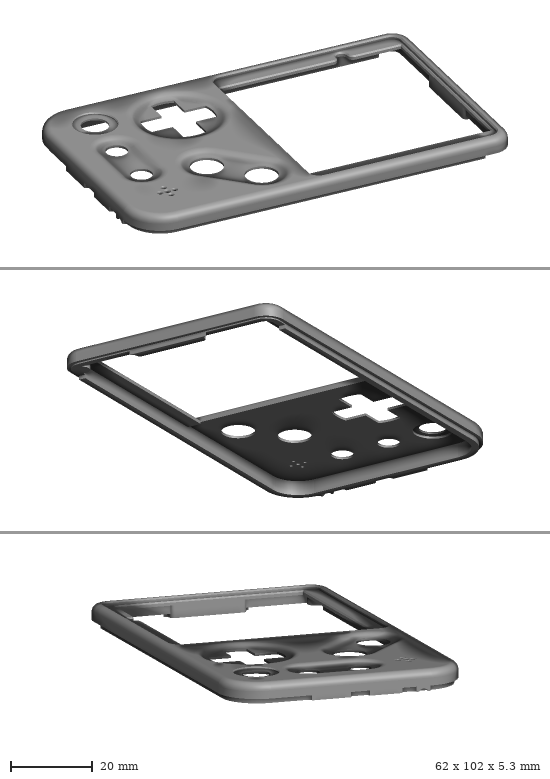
import cadquery as cq
import math

WIDTH = 62.0
LENGTH = 102.0
HEIGHT = 5.3
TOP_CORNER_RADIUS = 5.0
BOTTOM_CORNER_RADIUS = 10.0
EDGE_ROUND = 2.0
RIM_Z = 1.3
LIP_INSET = 1.0
LIP_THICKNESS = 1.8
WALL_THICKNESS = LIP_INSET + LIP_THICKNESS
SKIN_THICKNESS = 1.6
CAVITY_TOP = HEIGHT - SKIN_THICKNESS

RECESS_DEPTH = 1.0
RECESS_FLOOR = HEIGHT - RECESS_DEPTH
SCREEN_HALF_WIDTH = 24.5
SCREEN_BOTTOM = -2.65
SCREEN_TOP = 47.65
POCKET_HALF_WIDTH = 28.35
POCKET_TOP = 48.35
POCKET_CORNER_RADIUS = 2.65
POCKET_CHAMFER = 0.35
SCREEN_CHAMFER = 0.35
LEDGE_THICKNESS = 1.1
NOTCH_Y = 32.3
NOTCH_RADIUS = 1.5
NOTCH_MOUTH_RADIUS = 1.5
NOTCH_DEPTH = 3.1

DISH_ARC_WIDTH = 1.7
PAD_CENTER = (-14.75, -18.0)
PAD_FLOOR_RADIUS = 9.45
PAD_ARM_WIDTH = 6.3
ACTION_CENTER = (15.1, -17.75)
ACTION_SPACING = 10.0 * math.sqrt(2)
ACTION_ANGLE = 45.0
ACTION_FLOOR_RADIUS = 4.45
ACTION_HOLE_DIAMETER = 8.4
SELECT_CENTER = (0.0, -38.95)
SELECT_SPACING = 13.5
SELECT_FLOOR_RADIUS = 3.1
SELECT_HOLE_DIAMETER = 5.6

MENU_CENTER = (-20.1, -38.2)
MENU_RECESS_DIAMETER = 11.0
MENU_RIM_DIAMETER = 11.5
MENU_RECESS_DEPTH = 0.5
MENU_RELIEF_DIAMETER = 9.9
MENU_WALL = 0.5
MENU_HOLE_DIAMETER = 7.0

SPEAKER_CENTER = (19.0, -38.0)
SPEAKER_PITCH = 2.0
SPEAKER_MIDDLE = (1.0, 1.8)
SPEAKER_OUTER = (0.8, 1.62)

LIP_CUT_Y = 43.5
LIP_CUT_Z = 1.0
FRONT_TABS = ((-10.3, -0.2), (4.8, 13.3), (17.0, 20.6))
FRONT_TAB_FILLET = 0.9
CABLE_GROOVE_X = 18.85
CABLE_GROOVE_WIDTH = 2.4
CABLE_GROOVE_HEIGHT = 0.7
BACK_TAB_HALF_WIDTH = 8.9
BACK_TAB_FILLET = 1.1
BOSS_CENTER = (27.5, 46.4)
BOSS_DIAMETER = 4.4


def shell_block(inset, z_low, z_high):
    """Body outline moved inward by inset, extruded between two heights."""
    block = cq.Workplane("XY").workplane(offset=z_low).rect(WIDTH - 2 * inset, LENGTH - 2 * inset)
    block = block.extrude(z_high - z_low)
    block = block.edges("|Z and >Y").fillet(TOP_CORNER_RADIUS - inset)
    return block.edges("|Z and <Y").fillet(BOTTOM_CORNER_RADIUS - inset)


def box_between(x_range, y_range, z_range):
    size = [high - low for low, high in (x_range, y_range, z_range)]
    start = (x_range[0], y_range[0], z_range[0])
    return cq.Workplane("XY").box(*size, centered=False).translate(start)


def hole(center, diameter):
    return cq.Workplane("XY").center(*center).circle(diameter / 2).extrude(HEIGHT)


def cone(center, low_diameter, high_diameter):
    """45 degree countersink that reaches its larger diameter at the top face."""
    depth = (high_diameter - low_diameter) / 2
    lower = cq.Workplane("XY").workplane(offset=HEIGHT - depth).center(*center).circle(low_diameter / 2)
    return lower.workplane(offset=depth).circle(high_diameter / 2).loft()


def dish_section(plane, floor_radius):
    """Closed half section of a dish: flat floor, concave arc, then convex arc up to the top face."""
    half_angle = math.atan(RECESS_DEPTH / 2 / DISH_ARC_WIDTH)
    arc_radius = DISH_ARC_WIDTH / math.sin(2 * half_angle)
    arc_dx = arc_radius * math.sin(half_angle)
    arc_dz = arc_radius * (1 - math.cos(half_angle))
    middle = (floor_radius + DISH_ARC_WIDTH, HEIGHT - RECESS_DEPTH / 2)
    rim = floor_radius + 2 * DISH_ARC_WIDTH
    return (
        plane.moveTo(0, RECESS_FLOOR)
        .lineTo(floor_radius, RECESS_FLOOR)
        .threePointArc((floor_radius + arc_dx, RECESS_FLOOR + arc_dz), middle)
        .threePointArc((rim - arc_dx, HEIGHT - arc_dz), (rim, HEIGHT))
        .lineTo(0, HEIGHT)
        .close()
    )


def round_dish(floor_radius):
    return dish_section(cq.Workplane("XZ"), floor_radius).revolve(360, (0, 0, 0), (0, 1, 0))


def long_dish(floor_radius, spacing):
    """Cutters of a dish stretched along X between two round ends."""
    plane = cq.Workplane("YZ").workplane(offset=-spacing / 2)
    half = dish_section(plane, floor_radius).extrude(spacing)
    ends = [round_dish(floor_radius).translate((side * spacing / 2, 0, 0)) for side in (-1, 1)]
    return [half.union(half.mirror("XZ")), *ends]


def button_pair(center, spacing, angle, floor_radius, hole_diameter):
    cutters = long_dish(floor_radius, spacing)
    cutters += [hole((side * spacing / 2, 0), hole_diameter) for side in (-1, 1)]
    return [cutter.rotate((0, 0, 0), (0, 0, 1), angle).translate((*center, 0)) for cutter in cutters]


def direction_pad():
    reach = 2 * PAD_FLOOR_RADIUS
    cross = cq.Workplane("XY").rect(reach, PAD_ARM_WIDTH).extrude(HEIGHT)
    cross = cross.union(cq.Workplane("XY").rect(PAD_ARM_WIDTH, reach).extrude(HEIGHT))
    cross = cross.intersect(hole((0, 0), reach))
    return [cutter.translate((*PAD_CENTER, 0)) for cutter in (round_dish(PAD_FLOOR_RADIUS), cross)]


def menu_button():
    recess = hole(MENU_CENTER, MENU_RECESS_DIAMETER).translate((0, 0, HEIGHT - MENU_RECESS_DEPTH))
    rim = cone(MENU_CENTER, MENU_RECESS_DIAMETER, MENU_RIM_DIAMETER)
    relief = hole(MENU_CENTER, MENU_RELIEF_DIAMETER).translate((0, 0, -MENU_RECESS_DEPTH - MENU_WALL))
    return [recess, rim, relief, hole(MENU_CENTER, MENU_HOLE_DIAMETER)]


def speaker():
    x, y = SPEAKER_CENTER
    cutter = hole(SPEAKER_CENTER, SPEAKER_MIDDLE[0]).union(cone(SPEAKER_CENTER, *SPEAKER_MIDDLE))
    for dx, dy in ((1, 0), (-1, 0), (0, 1), (0, -1)):
        place = (x + dx * SPEAKER_PITCH, y + dy * SPEAKER_PITCH)
        cutter = cutter.union(hole(place, SPEAKER_OUTER[0])).union(cone(place, *SPEAKER_OUTER))
    return cutter


def screen_outline(plane_z):
    """Window outline with the rounded notch in its left side."""
    tip_x = -SCREEN_HALF_WIDTH - NOTCH_DEPTH
    center_x = tip_x + NOTCH_RADIUS
    mouth_x = -SCREEN_HALF_WIDTH - NOTCH_MOUTH_RADIUS
    reach = NOTCH_RADIUS + NOTCH_MOUTH_RADIUS
    mouth_dy = math.sqrt(reach**2 - (mouth_x - center_x) ** 2)
    share = NOTCH_RADIUS / reach
    join_x = center_x + share * (mouth_x - center_x)
    join_dy = share * mouth_dy
    join_angle = math.atan2(-mouth_dy, center_x - mouth_x)
    mid_x = mouth_x + NOTCH_MOUTH_RADIUS * math.cos(join_angle / 2)
    mid_dy = mouth_dy + NOTCH_MOUTH_RADIUS * math.sin(join_angle / 2)
    return (
        cq.Workplane("XY")
        .workplane(offset=plane_z)
        .moveTo(-SCREEN_HALF_WIDTH, SCREEN_BOTTOM)
        .lineTo(-SCREEN_HALF_WIDTH, NOTCH_Y - mouth_dy)
        .threePointArc((mid_x, NOTCH_Y - mid_dy), (join_x, NOTCH_Y - join_dy))
        .threePointArc((tip_x, NOTCH_Y), (join_x, NOTCH_Y + join_dy))
        .threePointArc((mid_x, NOTCH_Y + mid_dy), (-SCREEN_HALF_WIDTH, NOTCH_Y + mouth_dy))
        .lineTo(-SCREEN_HALF_WIDTH, SCREEN_TOP)
        .lineTo(SCREEN_HALF_WIDTH, SCREEN_TOP)
        .lineTo(SCREEN_HALF_WIDTH, SCREEN_BOTTOM)
        .close()
    )


def pocket_outline(plane_z):
    """Rounded outline of the shallow glass pocket around the window."""
    width = 2 * POCKET_HALF_WIDTH
    length = POCKET_TOP - SCREEN_BOTTOM
    center_y = (POCKET_TOP + SCREEN_BOTTOM) / 2
    outline = cq.Sketch().rect(width, length).vertices().fillet(POCKET_CORNER_RADIUS)
    return cq.Workplane("XY").workplane(offset=plane_z).center(0, center_y).placeSketch(outline)


def screen():
    """Cutters for the pocket, the window in its floor and the chamfers of both."""
    window_bevel = screen_outline(RECESS_FLOOR - SCREEN_CHAMFER).extrude(SCREEN_CHAMFER, taper=-45)
    return [
        pocket_outline(RECESS_FLOOR).extrude(RECESS_DEPTH),
        pocket_outline(HEIGHT - POCKET_CHAMFER).extrude(POCKET_CHAMFER, taper=-45),
        screen_outline(0).extrude(HEIGHT),
        window_bevel.intersect(pocket_outline(0).extrude(HEIGHT)),
    ]


def front_tab(left, right):
    """Block that carries the front wall face down to the lower edge, filleted into the lip."""
    front = -LENGTH / 2
    back = front + LIP_INSET
    r = FRONT_TAB_FILLET
    sag = r * (1 - math.sqrt(0.5))
    return (
        cq.Workplane("XY")
        .moveTo(left, front)
        .lineTo(left, back - r)
        .threePointArc((left - sag, back - sag), (left - r, back))
        .lineTo(right + r, back)
        .threePointArc((right + sag, back - sag), (right, back - r))
        .lineTo(right, front)
        .close()
        .extrude(RIM_Z)
    )


def cable_groove():
    radius = (CABLE_GROOVE_WIDTH**2 / 4 + CABLE_GROOVE_HEIGHT**2) / (2 * CABLE_GROOVE_HEIGHT)
    groove = cq.Workplane("XZ").center(CABLE_GROOVE_X, CABLE_GROOVE_HEIGHT - radius).circle(radius)
    return groove.extrude(LIP_INSET).translate((0, LIP_INSET - LENGTH / 2, 0))


def back_tab():
    """Thickened middle of the back wall, blended into it by S-shaped ends."""
    r = BACK_TAB_FILLET
    bulge = r * math.sqrt(0.5)
    half = BACK_TAB_HALF_WIDTH
    root = half + 2 * r
    outer = LENGTH / 2 - LIP_INSET
    middle_y = SCREEN_TOP + r
    root_y = SCREEN_TOP + 2 * r
    return (
        cq.Workplane("XY")
        .moveTo(-root, outer)
        .lineTo(-root, root_y)
        .threePointArc((-root + bulge, middle_y + bulge), (-half - r, middle_y))
        .threePointArc((-half - bulge, middle_y - bulge), (-half, SCREEN_TOP))
        .lineTo(half, SCREEN_TOP)
        .threePointArc((half + bulge, middle_y - bulge), (half + r, middle_y))
        .threePointArc((root - bulge, middle_y + bulge), (root, root_y))
        .lineTo(root, outer)
        .close()
        .extrude(CAVITY_TOP)
    )


def corner_boss():
    plane = cq.Workplane("XY").workplane(offset=LIP_CUT_Z).center(*BOSS_CENTER)
    return plane.circle(BOSS_DIAMETER / 2).extrude(CAVITY_TOP - LIP_CUT_Z)


def screen_ledge():
    """Extra thickness under the pocket floor; the window is cut through it afterwards."""
    half_width = WIDTH / 2 - WALL_THICKNESS
    return box_between(
        (-half_width, half_width),
        (SCREEN_BOTTOM, LENGTH / 2 - WALL_THICKNESS),
        (RECESS_FLOOR - LEDGE_THICKNESS, CAVITY_TOP),
    )


def body():
    """Hollow shell with the lip, tabs, boss and ledge, before the openings are cut."""
    upper = shell_block(0, RIM_Z, HEIGHT).faces(">Z").edges().fillet(EDGE_ROUND)
    lip = shell_block(LIP_INSET, 0, RIM_Z)
    lip = lip.cut(box_between((-WIDTH, WIDTH), (LIP_CUT_Y, LENGTH), (0, LIP_CUT_Z)))
    shell = upper.union(lip).cut(shell_block(WALL_THICKNESS, 0, CAVITY_TOP))
    for left, right in FRONT_TABS:
        shell = shell.union(front_tab(left, right))
    for addition in (back_tab(), corner_boss(), screen_ledge()):
        shell = shell.union(addition)
    return shell


result = body()
for cutters in (
    screen(),
    direction_pad(),
    button_pair(ACTION_CENTER, ACTION_SPACING, ACTION_ANGLE, ACTION_FLOOR_RADIUS, ACTION_HOLE_DIAMETER),
    button_pair(SELECT_CENTER, SELECT_SPACING, 0, SELECT_FLOOR_RADIUS, SELECT_HOLE_DIAMETER),
    menu_button(),
    [speaker()],
    [cable_groove()],
):
    for cutter in cutters:
        result = result.cut(cutter)